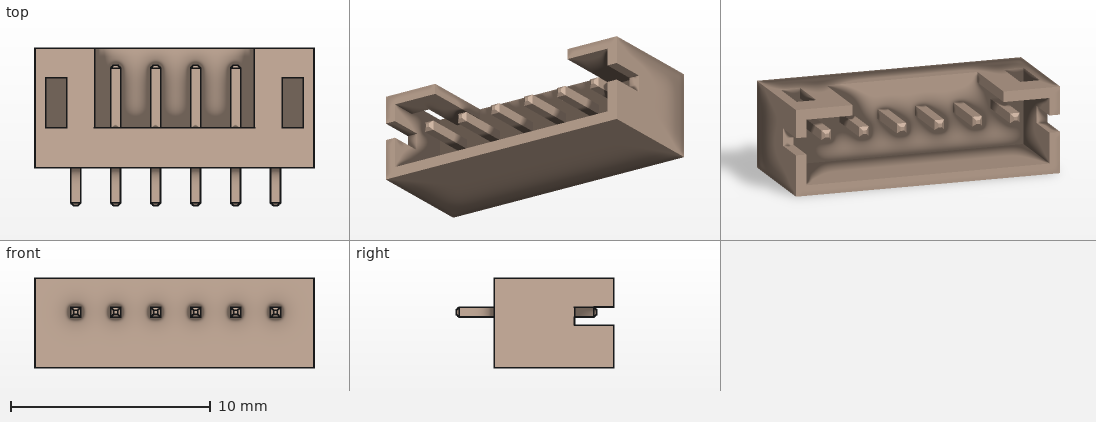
import cadquery as cq

body_length = 14.0
body_depth = 6.0
body_height = 4.5

wall = 0.55
end_wall = 0.56
cavity_depth = 4.0
cavity_floor = body_depth - cavity_depth

slot_length = 1.04
slot_depth = 2.5

notch_depth = 1.97
notch_height = 0.9

pin_count = 6
pin_pitch = 2.0
pin_size = 0.5
pin_row_shift = 0.05
pin_drop = 1.71
pin_front_reach = 1.9
pin_rear_setback = 0.85
tip_chamfer = 0.15

window_length = (pin_count - 2) * pin_pitch

pin_z = body_height - pin_drop
notch_top = pin_z + pin_size / 2


def block(x_center, x_size, y_range, z_range):
    """Box centred on x_center that fills the given (low, high) ranges in Y and Z."""
    y_low, y_high = y_range
    z_low, z_high = z_range
    box = cq.Workplane("XY").box(x_size, y_high - y_low, z_high - z_low, centered=(True, False, False))
    return box.translate((x_center, y_low, z_low))


def make_housing():
    """Rectangular shell with an open mouth, windowed top and notched ends."""
    housing = block(0, body_length, (0, body_depth), (0, body_height))

    inner_length = body_length - 2 * end_wall
    cavity = block(0, inner_length, (cavity_floor, body_depth), (wall, body_height - wall))
    housing = housing.cut(cavity)

    top_wall = (body_height - wall, body_height)
    window = block(0, window_length, (cavity_floor, body_depth), top_wall)
    housing = housing.cut(window)

    for side in (-1, 1):
        slot_center = side * (inner_length - slot_length) / 2
        slot = block(slot_center, slot_length, (cavity_floor, cavity_floor + slot_depth), top_wall)
        housing = housing.cut(slot)

    notches = block(
        0,
        body_length,
        (body_depth - notch_depth, body_depth),
        (notch_top - notch_height, notch_top),
    )
    return housing.cut(notches)


def make_pin(x_center):
    """Square pin along Y with a blunt pyramid tip at each end."""
    front = -pin_front_reach
    rear = body_depth - pin_rear_setback
    shaft = block(
        x_center,
        pin_size,
        (front, rear),
        (pin_z - pin_size / 2, pin_z + pin_size / 2),
    )
    return shaft.faces("<Y or >Y").chamfer(tip_chamfer)


result = make_housing()
for index in range(pin_count):
    pin_x = pin_row_shift + (index - (pin_count - 1) / 2) * pin_pitch
    result = result.union(make_pin(pin_x))